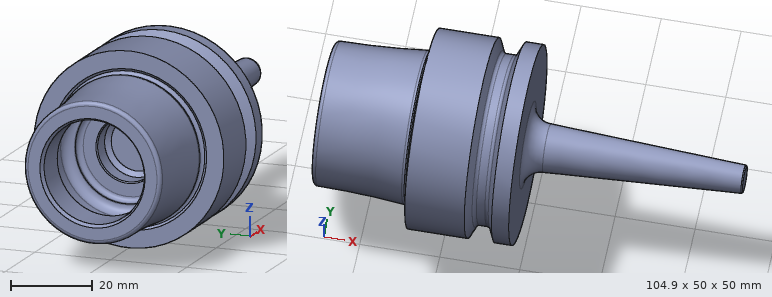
import cadquery as cq

total_length = 104.9
shank_length = 24.7
flange_end = 50.7
flange_diameter = 50.0
flange_radius = flange_diameter / 2

shank_mouth_radius = 18.0
shank_mouth_fillet = 1.0
shank_rear_radius = 19.2
shank_flare_end = 22.8
shank_lip_end = 23.4

undercut_radius = 18.9
undercut_start = 23.7
undercut_fillet = 0.9
recess_depth = 0.4
recess_radius = 20.5

groove_start = 39.5
groove_end = 46.4
groove_wall_run = 1.7
groove_floor_radius = 21.4
groove_fillet = 1.0

stem_fillet = 4.8
stem_root_radius = 6.1
stem_tip_radius = 3.6
stem_tip_chamfer = 0.3

bore_radius = 13.2
bore_depth = 24.1
bore_chamfer_length = 1.2
bore_chamfer_height = 0.6
bore_floor_fillet = 1.4
clamp_groove_start = 10.1
clamp_groove_end = 22.2
clamp_groove_radius = 16.0
clamp_groove_fillet = 2.6

hole_radius = 8.2
hole_depth = 6.3
hole_floor_radius = 6.9
hole_chamfer = 0.3


def revolve_about_x(profile):
    return profile.close().revolve(360, (0, 0, 0), (1, 0, 0))


def turned_body():
    recess_floor = shank_length + recess_depth
    recess_floor_radius = undercut_radius + undercut_fillet
    profile = (
        cq.Workplane("XY")
        .lineTo(0, shank_mouth_radius - shank_mouth_fillet)
        .radiusArc((shank_mouth_fillet, shank_mouth_radius), shank_mouth_fillet)
        .tangentArcPoint((shank_flare_end, shank_rear_radius), relative=False)
        .lineTo(shank_lip_end, shank_rear_radius)
        .lineTo(undercut_start, undercut_radius)
        .lineTo(recess_floor - undercut_fillet, undercut_radius)
        .radiusArc((recess_floor, recess_floor_radius), -undercut_fillet)
        .lineTo(shank_length, recess_radius)
        .lineTo(shank_length, flange_radius)
        .lineTo(flange_end, flange_radius)
        .lineTo(flange_end, stem_root_radius + stem_fillet)
        .radiusArc((flange_end + stem_fillet, stem_root_radius), -stem_fillet)
        .lineTo(total_length - stem_tip_chamfer, stem_tip_radius)
        .lineTo(total_length, stem_tip_radius - stem_tip_chamfer)
        .lineTo(total_length, 0)
    )
    return revolve_about_x(profile)


def flange_groove():
    profile = (
        cq.Workplane("XY")
        .moveTo(groove_start, flange_radius)
        .lineTo(groove_start + groove_wall_run, groove_floor_radius)
        .lineTo(groove_end - groove_wall_run, groove_floor_radius)
        .lineTo(groove_end, flange_radius)
    )
    floor_edges = cq.selectors.RadiusNthSelector(0)
    return revolve_about_x(profile).edges(floor_edges).fillet(groove_fillet)


def clamping_bore():
    hole_end = bore_depth + hole_depth
    hole_cone_height = hole_radius - hole_floor_radius
    profile = (
        cq.Workplane("XY")
        .lineTo(0, bore_radius + bore_chamfer_height)
        .lineTo(bore_chamfer_length, bore_radius)
        .lineTo(clamp_groove_start, bore_radius)
        .lineTo(clamp_groove_start, clamp_groove_radius)
        .lineTo(clamp_groove_end - clamp_groove_fillet, clamp_groove_radius)
        .radiusArc((clamp_groove_end, clamp_groove_radius - clamp_groove_fillet), clamp_groove_fillet)
        .lineTo(clamp_groove_end, bore_radius)
        .lineTo(bore_depth - bore_floor_fillet, bore_radius)
        .radiusArc((bore_depth, bore_radius - bore_floor_fillet), bore_floor_fillet)
        .lineTo(bore_depth, hole_radius + hole_chamfer)
        .lineTo(bore_depth + hole_chamfer, hole_radius)
        .lineTo(hole_end - hole_cone_height, hole_radius)
        .lineTo(hole_end, hole_floor_radius)
        .lineTo(hole_end, 0)
    )
    return revolve_about_x(profile)


result = turned_body().cut(flange_groove()).cut(clamping_bore())